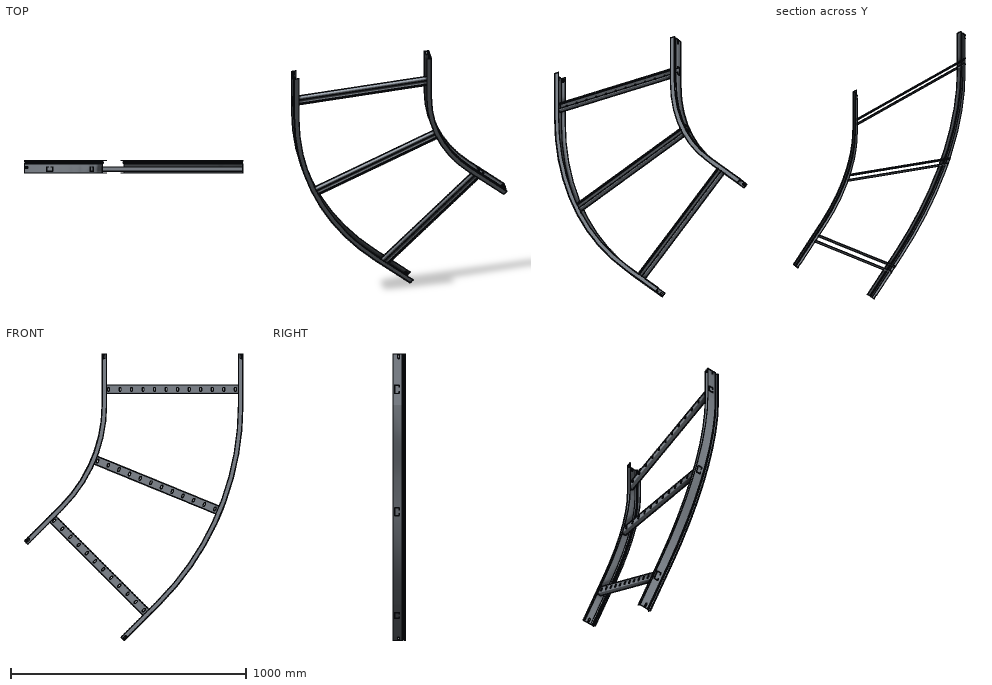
import cadquery as cq
import math


BEND_ANGLE = 45.0
INNER_RADIUS = 600.0
LADDER_WIDTH = 600.0
OUTER_RADIUS = INNER_RADIUS + LADDER_WIDTH
LEG_LENGTH = 217.91
HEIGHT = 55.0
SHEET = 1.5

FLANGE_WIDTH = 20.0
GROOVE_DEPTH = 5.0
GROOVE_BOTTOM = 12.0
GROOVE_TOP = 24.0

END_SLOT_LENGTH = 18.0
END_SLOT_WIDTH = 6.0
END_SLOT_TO_END = 12.0
WEB_SLOT_Y = -3.0
FLANGE_SLOT_INSET = 9.0

RUNG_WIDTH = 37.0
RUNG_DEPTH = 20.0
RUNG_FRONT = -20.0
RUNG_LIP = 9.0
RUNG_BEND_RADIUS = 3.0
RUNG_TO_BEND = 67.0
MIDDLE_RUNG_ANGLE = 22.25
RUNG_SLOT_COUNT = 12
RUNG_SLOT_PITCH = 49.0
RUNG_SLOT_LENGTH = 15.0
RUNG_SLOT_WIDTH = 7.0
FIRST_RUNG_SLOT = 28.0

CUT_REACH = 2 * SHEET

RUNG_PLACES = [(RUNG_TO_BEND, 0), (0, MIDDLE_RUNG_ANGLE), (-RUNG_TO_BEND, BEND_ANGLE)]


def turn(body, angle):
    """Turn a body about the bend axis, from the first leg towards the second."""
    return body.rotate((0, 0, 0), (0, 1, 0), angle)


def along_bend(points):
    """Carry a closed XY section along the first leg, the arc and the second leg."""
    section = cq.Sketch().polygon(points + points[:1])
    start = cq.Workplane("XY").placeSketch(section)
    first_leg = start.extrude(LEG_LENGTH)
    arc = start.revolve(BEND_ANGLE, (0, 0, 0), (0, 1, 0))
    second_leg = turn(start.extrude(-LEG_LENGTH), BEND_ANGLE)
    return first_leg.union(arc).union(second_leg)


def rail_section(radius, inward):
    """Channel with a grooved web; `inward` (+1 or -1) is the radial direction of the flanges."""
    half = HEIGHT / 2
    miter = SHEET * math.tan(math.radians(45 / 2))
    floor_low = GROOVE_BOTTOM + GROOVE_DEPTH
    floor_high = GROOVE_TOP - GROOVE_DEPTH
    groove_back = GROOVE_DEPTH + SHEET
    outline = [
        (FLANGE_WIDTH, -half),
        (0, -half),
        (0, GROOVE_BOTTOM),
        (GROOVE_DEPTH, floor_low),
        (GROOVE_DEPTH, floor_high),
        (0, GROOVE_TOP),
        (0, half),
        (FLANGE_WIDTH, half),
        (FLANGE_WIDTH, half - SHEET),
        (SHEET, half - SHEET),
        (SHEET, GROOVE_TOP + miter),
        (groove_back, floor_high + miter),
        (groove_back, floor_low - miter),
        (SHEET, GROOVE_BOTTOM - miter),
        (SHEET, SHEET - half),
        (FLANGE_WIDTH, SHEET - half),
    ]
    return [(radius + inward * depth, y) for depth, y in outline]


def end_slot_cutters(radius, inward):
    """One slot through the web and one through the -Y flange at each end of a rail."""
    slot_z = LEG_LENGTH - END_SLOT_TO_END
    cutters = []
    for z, angle in [(slot_z, 0), (-slot_z, BEND_ANGLE)]:
        web_slot = (
            cq.Workplane("YZ", origin=(radius, WEB_SLOT_Y, z))
            .slot2D(END_SLOT_LENGTH, END_SLOT_WIDTH, 90)
            .extrude(CUT_REACH, both=True)
        )
        flange_slot = (
            cq.Workplane("XZ", origin=(radius + inward * FLANGE_SLOT_INSET, -HEIGHT / 2, z))
            .slot2D(END_SLOT_LENGTH, END_SLOT_WIDTH, 90)
            .extrude(CUT_REACH, both=True)
        )
        cutters += [turn(web_slot, angle), turn(flange_slot, angle)]
    return cutters


def rung_bar(start, end):
    """Lipped channel along X, open towards +Y, before its slots are cut."""
    length = end - start
    middle = ((start + end) / 2, RUNG_FRONT + RUNG_DEPTH / 2, 0)
    outside = cq.Workplane("XY").box(length, RUNG_DEPTH, RUNG_WIDTH)
    outside = outside.edges("|X").fillet(RUNG_BEND_RADIUS)
    hollow = cq.Workplane("XY").box(length, RUNG_DEPTH - 2 * SHEET, RUNG_WIDTH - 2 * SHEET)
    hollow = hollow.edges("|X").fillet(RUNG_BEND_RADIUS - SHEET)
    mouth = (
        cq.Workplane("XY")
        .box(length, RUNG_DEPTH, RUNG_WIDTH - 2 * RUNG_LIP)
        .translate((0, RUNG_DEPTH / 2, 0))
    )
    return outside.cut(hollow).cut(mouth).translate(middle)


def place_rung(body, place):
    """Move a rung-shaped body from the start of the arc to its place on the ladder."""
    along_leg, angle = place
    return turn(body.translate((0, 0, along_leg)), angle)


def rail(radius, inward):
    """Side rail with its end slots and the web openings that take the rung ends."""
    body = along_bend(rail_section(radius, inward))
    for cutter in end_slot_cutters(radius, inward):
        body = body.cut(cutter)
    opening = rung_bar(radius - FLANGE_WIDTH, radius + FLANGE_WIDTH)
    for place in RUNG_PLACES:
        body = body.cut(place_rung(opening, place))
    return body


def rung(place):
    """Slotted rung whose ends are flush with the outside faces of the rail webs."""
    bar = rung_bar(INNER_RADIUS - FLANGE_WIDTH, OUTER_RADIUS + FLANGE_WIDTH)
    slots = (
        cq.Workplane("XZ", origin=(INNER_RADIUS + FIRST_RUNG_SLOT, RUNG_FRONT, 0))
        .pushPoints([(i * RUNG_SLOT_PITCH, 0) for i in range(RUNG_SLOT_COUNT)])
        .slot2D(RUNG_SLOT_LENGTH, RUNG_SLOT_WIDTH, 90)
        .extrude(CUT_REACH, both=True)
    )
    half = HEIGHT / 2
    between_webs = along_bend(
        [(INNER_RADIUS, -half), (OUTER_RADIUS, -half), (OUTER_RADIUS, half), (INNER_RADIUS, half)]
    )
    return place_rung(bar.cut(slots), place).intersect(between_webs)


inner_rail = rail(INNER_RADIUS, 1)
outer_rail = rail(OUTER_RADIUS, -1)
rungs = [rung(place) for place in RUNG_PLACES]

result = cq.Compound.makeCompound(
    [inner_rail.val(), outer_rail.val()] + [one_rung.val() for one_rung in rungs]
)